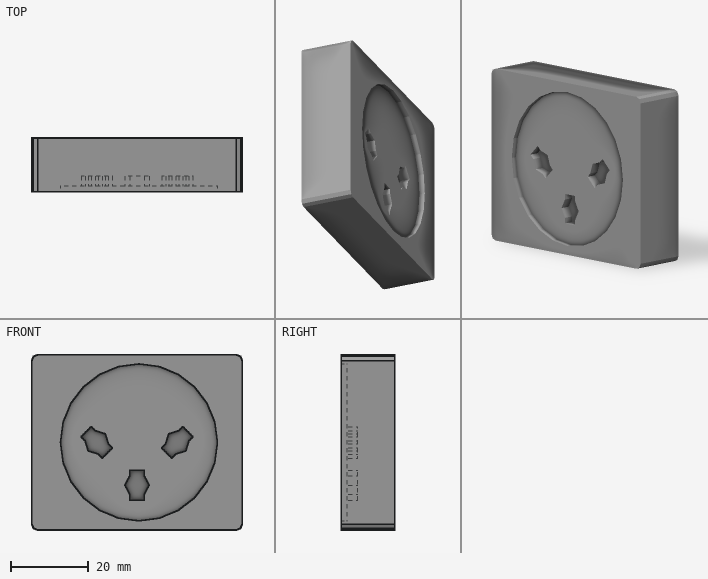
import cadquery as cq
import math

block_width = 54.0
block_height = 45.0
front_half_depth = 6.81
back_half_depth = 7.0
block_depth = front_half_depth + back_half_depth
corner_radius = 1.5
corner_flats = 2

recess_sides = 24
recess_radius = 20.13
recess_offset_x = 0.5
recess_depth = 1.5

slot_length = 7.7
slot_width = 3.7
bulge_width = 6.2
bulge_length = 4.8
slot_depth = 2.6
upper_slot_offset_x = 10.33
upper_slot_angle = 45.0
lower_slot_offset_z = -10.95

front_y = -front_half_depth
recess_floor_y = front_y + recess_depth


def front_plane(x, y, z):
    """Workplane facing the front: its x is X, its y is Z and its normal is -Y."""
    return cq.Workplane("XZ", origin=(x, y, z))


def make_block():
    """Block whose four long edges are each rounded by a few equal flats."""
    outline = []
    for quadrant in range(4):
        sign_x = 1 if quadrant in (0, 3) else -1
        sign_z = 1 if quadrant in (0, 1) else -1
        center_x = sign_x * (block_width / 2 - corner_radius)
        center_z = sign_z * (block_height / 2 - corner_radius)
        for step in range(corner_flats + 1):
            angle = math.radians(90 * (quadrant + step / corner_flats))
            corner_x = center_x + corner_radius * math.cos(angle)
            corner_z = center_z + corner_radius * math.sin(angle)
            outline.append((corner_x, corner_z))
    return front_plane(0, back_half_depth, 0).polyline(outline).close().extrude(block_depth)


def make_recess():
    """Cutter for the round recess."""
    return (
        front_plane(recess_offset_x, front_y, 0)
        .polygon(recess_sides, 2 * recess_radius)
        .extrude(-recess_depth)
    )


def make_slot(x, z, angle):
    """Cutter for one slot, centred at (x, z) and turned by angle from the Z direction."""
    bulge = [
        (bulge_width / 2, 0),
        (slot_width / 2, bulge_length / 2),
        (-slot_width / 2, bulge_length / 2),
        (-bulge_width / 2, 0),
        (-slot_width / 2, -bulge_length / 2),
        (slot_width / 2, -bulge_length / 2),
    ]
    plane = front_plane(x, recess_floor_y, z).transformed(rotate=(0, 0, angle))
    straight_part = plane.rect(slot_width, slot_length).extrude(-slot_depth)
    return straight_part.union(plane.polyline(bulge).close().extrude(-slot_depth))


slot_places = [
    (-upper_slot_offset_x, 0, upper_slot_angle),
    (upper_slot_offset_x, 0, -upper_slot_angle),
    (0, lower_slot_offset_z, 0),
]

result = make_block().cut(make_recess())
for slot_x, slot_z, slot_angle in slot_places:
    result = result.cut(make_slot(slot_x, slot_z, slot_angle))